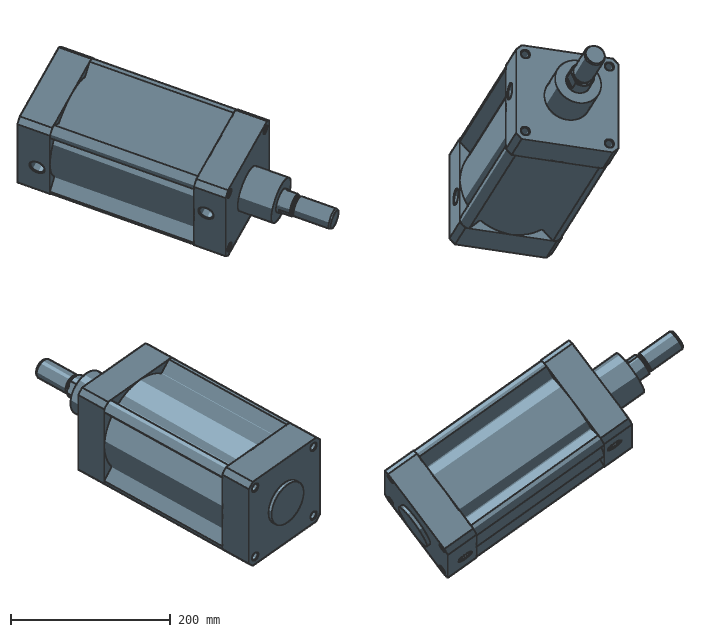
import cadquery as cq
import math


total_length = 410.0
rear_spigot_length = 5.5
rear_cap_length = 44.5
barrel_length = 197.2
front_cap_length = 43.5
front_spigot_length = 46.0

rear_cap_x = rear_spigot_length
barrel_x = rear_cap_x + rear_cap_length
front_cap_x = barrel_x + barrel_length
front_spigot_x = front_cap_x + front_cap_length
rod_x = front_spigot_x + front_spigot_length

cap_width = 134.0
cap_half = cap_width / 2
cap_chamfer = 7.5
spigot_diameter = 60.3

mount_spacing = 110.0
mount_diameter = 10.2
mount_mouth_diameter = 12.5
mount_depth = 20.5

port_diameter = 19.0
port_mouth_diameter = 21.5
port_depth = 24.5
port_inset = 27.0
port_offset = 14.5

barrel_radius = 66.5
ridge_half_width = 8.0
ridge_height = cap_half
rib_round = 12.5
rib_fillet = 1.85

rod_diameter = 32.0
wrench_x = 340.7
wrench_diameter = 31.5
shoulder_length = 1.2
wrench_length = 15.0
wrench_chamfer = 1.0
flat_width = 27.0
flat_angle = 25.0
neck_diameter = 24.5
neck_length = 2.0
thread_diameter = 27.0
thread_lead_in = 1.5
tip_chamfer_length = 2.5
tip_diameter = 24.5

axis = ((0, 0, 0), (1, 0, 0))
corners = [(-1, -1), (-1, 1), (1, -1), (1, 1)]


def along_x(x):
    """Workplane facing +X at station x, with Y and Z as its own axes."""
    return cq.Workplane("YZ", origin=(x, 0, 0))


def chamfered_hole(start, direction, diameter, mouth_diameter, depth):
    """Cutter for a blind hole with a 45 degree chamfer at its mouth."""
    chamfer = (mouth_diameter - diameter) / 2
    start = cq.Vector(*start)
    direction = cq.Vector(*direction)
    bore = cq.Solid.makeCylinder(diameter / 2, depth, start, direction)
    mouth = cq.Solid.makeCone(mouth_diameter / 2, diameter / 2, chamfer, start, direction)
    return cq.Workplane(bore).union(cq.Workplane(mouth))


def end_cap(outer_x, outward, length, spigot_length):
    """Square cap whose outer face, at outer_x, carries a round spigot and the mounting holes.

    outward is -1 for the rear cap and +1 for the front cap. The port is above the axis on the
    front cap and below it on the rear cap.
    """
    block = along_x(outer_x).rect(cap_width, cap_width).extrude(-outward * length)
    block = block.edges("|X").chamfer(cap_chamfer)
    spigot = along_x(outer_x).circle(spigot_diameter / 2).extrude(outward * spigot_length)
    cap = block.union(spigot)
    for y_side, z_side in corners:
        mount = (outer_x, y_side * mount_spacing / 2, z_side * mount_spacing / 2)
        cap = cap.cut(
            chamfered_hole(mount, (-outward, 0, 0), mount_diameter, mount_mouth_diameter, mount_depth)
        )
    port = (outer_x - outward * port_inset, -cap_half, outward * port_offset)
    return cap.cut(chamfered_hole(port, (0, 1, 0), port_diameter, port_mouth_diameter, port_depth))


def barrel_side_ridge():
    """Shallow two-faced ridge along the middle of the +Z side."""
    base = math.sqrt(barrel_radius**2 - ridge_half_width**2)
    return (
        along_x(barrel_x)
        .moveTo(0, 0)
        .lineTo(ridge_half_width, base)
        .lineTo(0, ridge_height)
        .lineTo(-ridge_half_width, base)
        .close()
        .extrude(barrel_length)
    )


def barrel_corner_rib():
    """Diagonal rib at the +Y +Z corner: a rounded crest with 45 degree sides."""
    crest_centre = cap_half - rib_round
    crest_mid = crest_centre + rib_round * math.cos(math.pi / 4)
    return (
        along_x(barrel_x)
        .moveTo(rib_round, 0)
        .lineTo(cap_half, crest_centre)
        .threePointArc((crest_mid, crest_mid), (crest_centre, cap_half))
        .lineTo(0, rib_round)
        .close()
        .extrude(barrel_length)
    )


def make_barrel():
    """Round core with four corner ribs, filleted at their roots, and four side ridges."""
    barrel = along_x(barrel_x).circle(barrel_radius).extrude(barrel_length)
    for i in range(4):
        barrel = barrel.union(barrel_corner_rib().rotate(*axis, 90 * i))

    root_near = (math.sqrt(2 * barrel_radius**2 - rib_round**2) - rib_round) / 2
    root_far = root_near + rib_round
    mid_x = barrel_x + barrel_length / 2
    for root_y, root_z in ((root_far, root_near), (root_near, root_far)):
        for y_side, z_side in corners:
            root = (mid_x, y_side * root_y, z_side * root_z)
            barrel = barrel.edges(cq.NearestToPointSelector(root)).fillet(rib_fillet)

    for i in range(4):
        barrel = barrel.union(barrel_side_ridge().rotate(*axis, 90 * i))
    return barrel


def make_rod():
    """Rod from the front spigot face: plain shank, wrench section, neck and threaded end."""
    rod_radius = rod_diameter / 2
    wrench_radius = wrench_diameter / 2
    thread_radius = thread_diameter / 2
    neck_radius = neck_diameter / 2
    wrench_end = wrench_x + wrench_length
    thread_x = wrench_end + neck_length
    rod = (
        cq.Workplane("XZ")
        .moveTo(rod_x, 0)
        .lineTo(rod_x, rod_radius)
        .lineTo(wrench_x - shoulder_length, rod_radius)
        .lineTo(wrench_x, wrench_radius)
        .lineTo(wrench_end - wrench_chamfer, wrench_radius)
        .lineTo(wrench_end, wrench_radius - wrench_chamfer)
        .lineTo(wrench_end, neck_radius)
        .lineTo(thread_x, neck_radius)
        .lineTo(thread_x + thread_lead_in, thread_radius)
        .lineTo(total_length - tip_chamfer_length, thread_radius)
        .lineTo(total_length, tip_diameter / 2)
        .lineTo(total_length, 0)
        .close()
        .revolve(360, *axis)
    )
    flat_stock = (
        along_x(wrench_x)
        .rect(2 * rod_diameter, 2 * rod_diameter)
        .rect(flat_width, 2 * rod_diameter)
        .extrude(wrench_length)
        .rotate(*axis, flat_angle)
    )
    return rod.cut(flat_stock)


rear_cap = end_cap(rear_cap_x, -1, rear_cap_length, rear_spigot_length)
barrel = make_barrel()
front_cap = end_cap(front_spigot_x, 1, front_cap_length, front_spigot_length)
rod = make_rod()

result = cq.Compound.makeCompound([rear_cap.val(), barrel.val(), front_cap.val(), rod.val()])